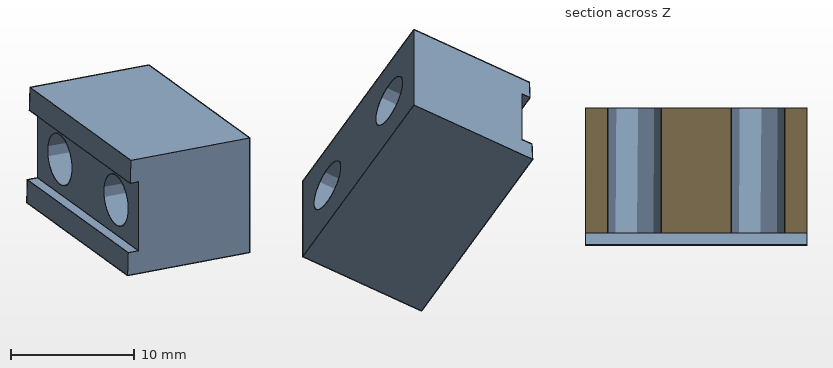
import cadquery as cq

length = 18.0
height = 10.0
depth_at_bottom = 11.15
depth_at_top = 10.84

channel_height = 6.01
channel_floor_depth = 10.15

hole_diameter = 4.32
hole_spacing = 10.0


def make_block():
    """Block with its back face on Y = 0 and its sloping front towards -Y."""
    side_outline = [
        (0, -height / 2),
        (-depth_at_bottom, -height / 2),
        (-depth_at_top, height / 2),
        (0, height / 2),
    ]
    return cq.Workplane("YZ").polyline(side_outline).close().extrude(length / 2, both=True)


def make_channel():
    """Full-length cutter in front of the channel floor."""
    return (
        cq.Workplane("XY")
        .box(length, depth_at_bottom, channel_height)
        .translate((0, -channel_floor_depth - depth_at_bottom / 2, 0))
    )


def make_holes():
    """Cylinders running from the back face out through the front."""
    return (
        cq.Workplane("XZ")
        .pushPoints([(-hole_spacing / 2, 0), (hole_spacing / 2, 0)])
        .circle(hole_diameter / 2)
        .extrude(depth_at_bottom)
    )


result = make_block().cut(make_channel()).cut(make_holes())